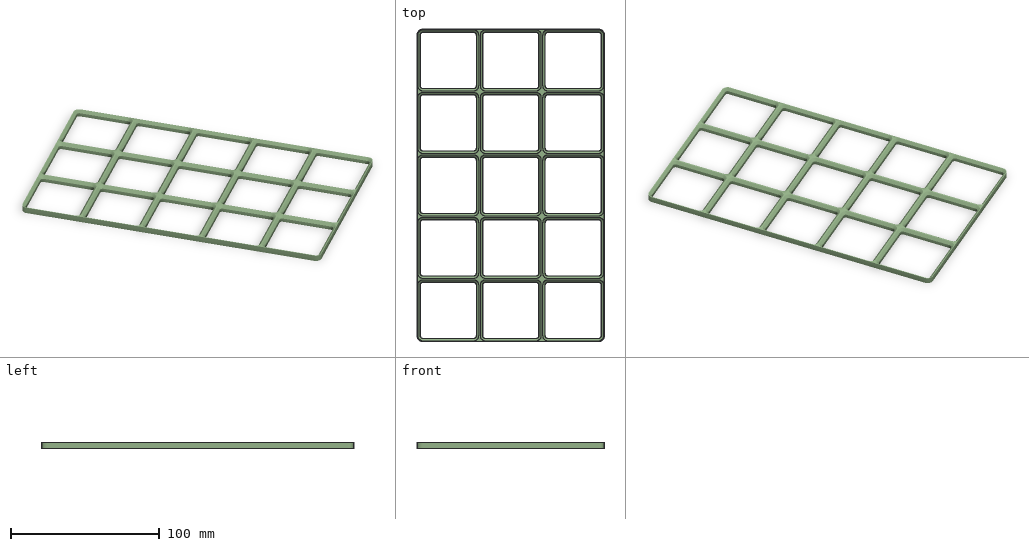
import cadquery as cq

columns = 3
rows = 5
pitch = 42.0
height = 4.2
outer_corner_radius = 4.0

land = 0.5
flare = 1.7
mouth_size = pitch - 2 * land
mouth_corner_radius = outer_corner_radius - land
opening_size = mouth_size - 2 * flare
opening_corner_radius = mouth_corner_radius - flare


def rounded_rectangle(length, width, corner_radius):
    """Flat outline with rounded corners, centred on the origin."""
    return cq.Sketch().rect(length, width).vertices().fillet(corner_radius)


def cell_cutter():
    """Straight opening through the plate, widened by a flare at the top."""
    opening_outline = rounded_rectangle(opening_size, opening_size, opening_corner_radius)
    mouth_outline = rounded_rectangle(mouth_size, mouth_size, mouth_corner_radius)
    opening = cq.Workplane("XY").placeSketch(opening_outline).extrude(height)
    mouth = (
        cq.Workplane("XY")
        .workplane(offset=height - flare)
        .placeSketch(opening_outline, mouth_outline.moved(cq.Location(cq.Vector(0, 0, flare))))
        .loft()
    )
    return opening.union(mouth)


plate_outline = rounded_rectangle(columns * pitch, rows * pitch, outer_corner_radius)
plate = cq.Workplane("XY").placeSketch(plate_outline).extrude(height)

cell_centers = cq.Workplane("XY").rarray(pitch, pitch, columns, rows)
cutter = cell_cutter().val()
cells = cell_centers.eachpoint(lambda location: cutter.moved(location))

result = plate.cut(cells)